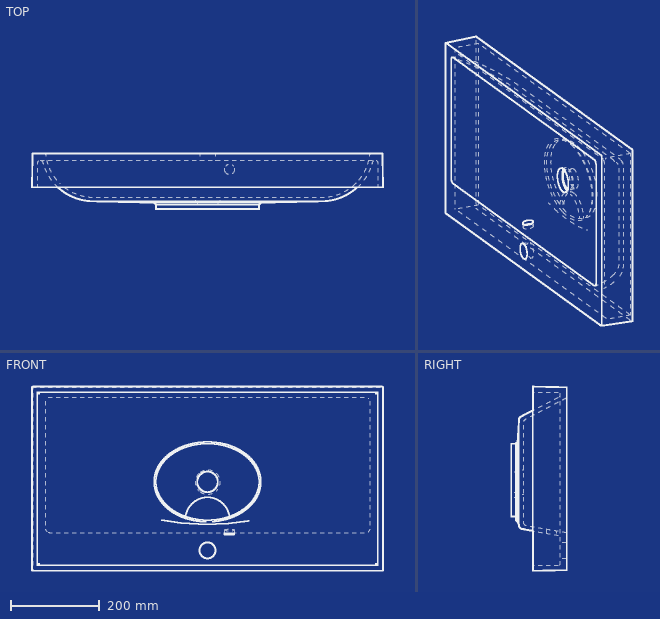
import cadquery as cq
import math


length = 794.0
height = 417.0
frame_depth = 77.0
total_depth = 126.0
frame_wall = 13.0
frame_draft = 1.5
corner_radius = 3.0
deck_thickness = 16.0
deck_fillet = 5.0

floor_depth = 109.0
floor_half_length = 257.0
end_radius = 119.0
upper_edge = 138.0
upper_slope = 0.52
lower_edge = -113.0
lower_slope = 0.17
bowl_wall = 9.5
bowl_fillet = 9.5

bulge_half_length = floor_half_length
bulge_half_height = (upper_edge - lower_edge) / 2 - bowl_fillet
bulge_z = (upper_edge + lower_edge) / 2

drain_z = -7.0
drain_diameter = 46.0
seat_diameter = 55.5
seat_thickness = 15.0
plinth_half_length = 121.0
plinth_half_height = 90.5
plinth_step = 4.0
plinth_base_depth = 112.0
plinth_top_depth = 116.0
notch_radius = 50.0
notch_z = -92.0
tap_diameter = 36.0
tap_z = -162.0
overflow_diameter = 23.0
overflow_x = 49.0
overflow_depth = 36.0


def underside_plane(depth, z=0):
    """Plane at the given depth whose normal points to -Y, with local x, y along X, Z."""
    return cq.Workplane("XZ", origin=(0, -depth, z))


def bowl_body(inset, top_depth, fillet):
    """Bowl shape from top_depth down to the floor, shrunk on all walls by inset."""
    floor = floor_depth - inset
    radius = end_radius - inset
    rise = floor - top_depth

    def arc_point(drop):
        reach = math.sqrt(radius**2 - (radius - drop)**2)
        return floor_half_length + reach, -(floor - drop)

    end_x, end_y = arc_point(rise)
    mid_x, mid_y = arc_point(rise / 4)
    lengthwise = (
        cq.Workplane("XY", origin=(0, 0, -height / 2))
        .moveTo(-floor_half_length, -floor)
        .lineTo(floor_half_length, -floor)
        .threePointArc((mid_x, mid_y), (end_x, end_y))
        .lineTo(-end_x, end_y)
        .threePointArc((-mid_x, mid_y), (-floor_half_length, -floor))
        .close()
        .extrude(height)
    )

    def upper_z(depth):
        return upper_edge + upper_slope * (floor_depth - depth) - inset * math.hypot(1, upper_slope)

    def lower_z(depth):
        return lower_edge - lower_slope * (floor_depth - depth) + inset * math.hypot(1, lower_slope)

    crosswise = (
        cq.Workplane("YZ", origin=(-length / 2, 0, 0))
        .polyline([
            (-floor, lower_z(floor)),
            (-floor, upper_z(floor)),
            (-top_depth, upper_z(top_depth)),
            (-top_depth, lower_z(top_depth)),
        ])
        .close()
        .extrude(length)
    )
    body = lengthwise.intersect(crosswise)
    rim_edges = cq.selectors.BoxSelector(
        (-length, -top_depth - 0.1, -height), (length, 8, height), boundingbox=True
    )
    end_edges = cq.selectors.ParallelDirSelector(cq.Vector(0, 0, 1))
    return body.edges(-(rim_edges + end_edges)).fillet(fillet)


def frame():
    """Drafted outer frame, hollow on the underside, closed by the deck."""
    block = (
        underside_plane(0)
        .rect(length - 2 * frame_draft, height - 2 * frame_draft)
        .workplane(offset=frame_depth)
        .rect(length, height)
        .loft(ruled=True)
    )
    block = block.edges("not(#Y)").edges("not(|X or |Z)").fillet(corner_radius)
    hollow = (
        underside_plane(deck_thickness)
        .rect(length - 2 * frame_wall, height - 2 * frame_wall)
        .extrude(frame_depth - deck_thickness)
        .faces(">Y").edges().fillet(deck_fillet)
    )
    return block.cut(hollow)


def floor_bulge():
    """Shallow fall of the floor from its edges to the drain plinth."""
    return (
        underside_plane(floor_depth, bulge_z)
        .ellipse(bulge_half_length, bulge_half_height)
        .workplane(offset=plinth_base_depth - floor_depth)
        .center(0, drain_z - bulge_z)
        .ellipse(plinth_half_length, plinth_half_height)
        .loft(ruled=True)
    )


def drain_plinth():
    """Elliptical plinth with a sloped foot and a notch in the raised pad."""
    pad_half_length = plinth_half_length - plinth_step
    pad_half_height = plinth_half_height - plinth_step
    foot = (
        underside_plane(plinth_base_depth, drain_z)
        .ellipse(plinth_half_length, plinth_half_height)
        .workplane(offset=plinth_top_depth - plinth_base_depth)
        .ellipse(pad_half_length, pad_half_height)
        .loft(ruled=True)
    )
    pad_height = total_depth - plinth_top_depth
    pad = (
        underside_plane(plinth_top_depth, drain_z)
        .ellipse(pad_half_length, pad_half_height)
        .extrude(pad_height)
    )
    notch = underside_plane(plinth_top_depth, notch_z).circle(notch_radius).extrude(pad_height)
    return foot.union(pad.cut(notch))


def through_hole(diameter, z):
    return underside_plane(0, z).circle(diameter / 2).extrude(total_depth)


overflow = (
    cq.Workplane("XY", origin=(overflow_x, -overflow_depth, 0))
    .circle(overflow_diameter / 2)
    .extrude(-height / 2 + frame_wall + deck_fillet)
)

drain_seat = (
    underside_plane(0, drain_z)
    .circle(seat_diameter / 2)
    .extrude(total_depth - seat_thickness)
)

shell = frame().union(bowl_body(0, deck_thickness / 2, bowl_fillet))

lower_corner_z = lower_edge - lower_slope * (floor_depth - deck_thickness)
lower_corner = cq.selectors.NearestToPointSelector((0, -deck_thickness, lower_corner_z))
shell = shell.edges("|X").edges(lower_corner).fillet(deck_fillet)

result = (
    shell
    .union(floor_bulge())
    .union(drain_plinth())
    .cut(bowl_body(bowl_wall, 0, bowl_fillet))
    .cut(drain_seat)
    .cut(through_hole(drain_diameter, drain_z))
    .cut(through_hole(tap_diameter, tap_z))
    .cut(overflow)
)